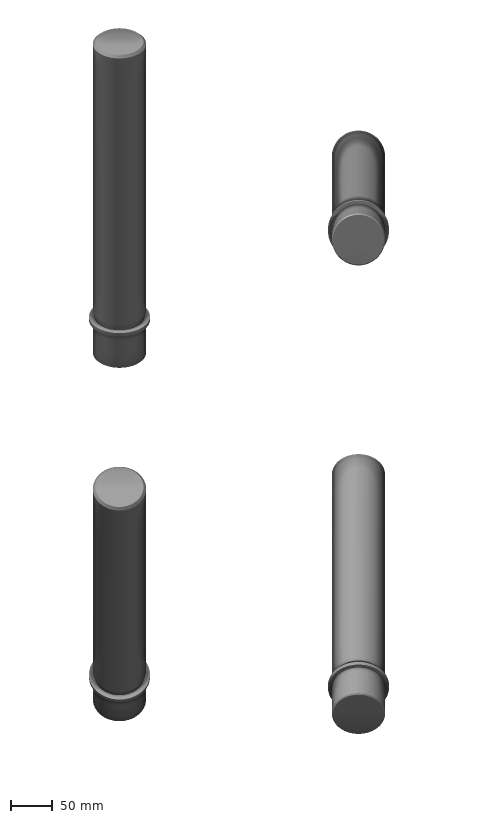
import cadquery as cq

total_length = 449.0
shaft_diameter = 63.8
collar_diameter = 73.0

collar_bottom = 49.0
collar_thickness = 5.0
collar_top = collar_bottom + collar_thickness
relief_width = 8.0
relief_top = collar_top + relief_width

relief_diameter = 60.5
bottom_chamfer = 1.5
top_chamfer = 3.0

shaft_radius = shaft_diameter / 2
collar_radius = collar_diameter / 2
relief_radius = relief_diameter / 2

half_section = (
    cq.Workplane("XZ")
    .moveTo(0, 0)
    .lineTo(shaft_radius - bottom_chamfer, 0)
    .lineTo(shaft_radius, bottom_chamfer)
    .lineTo(shaft_radius, collar_bottom)
    .lineTo(collar_radius, collar_bottom)
    .lineTo(collar_radius, collar_top)
    .lineTo(relief_radius, collar_top)
    .lineTo(relief_radius, relief_top)
    .lineTo(shaft_radius, relief_top)
    .lineTo(shaft_radius, total_length - top_chamfer)
    .lineTo(shaft_radius - top_chamfer, total_length)
    .lineTo(0, total_length)
    .close()
)

result = half_section.revolve(360, (0, 0, 0), (0, 1, 0))